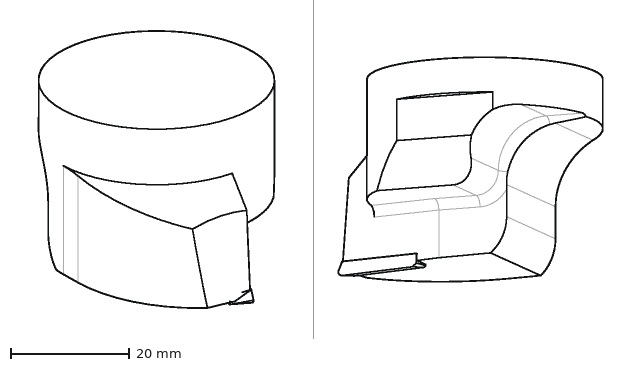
import cadquery as cq
import math

shank_diameter = 40.0
shank_radius = shank_diameter / 2
reach = 37.5

tip_x = 46.85 - shank_radius
rake_angle = 8.1
rake_slope = math.tan(math.radians(rake_angle))
insert_proud = 0.25
insert_depth = 4.2
insert_relief = 8.0
insert_length = 15.35
insert_top = -29.57
insert_bottom = -32.0
nose_radius = 0.75
tip_setback = 0.8
tail_chamfer = 0.8
tail_rise = 0.2

wall_y = 2.55
throat_x = -5.0
throat_radius = 10.0
throat_end_z = -19.0
throat_slope = 6.0
toe_radius = 7.6
toe_start_z = -24.5
toe_x = -2.05
blade_bottom = -30.55
blade_end_bottom = -31.05

flank_flat = 4.1
flank_radius = 25.0
cone_top = -10.35
end_x = 24.9
end_z = -15.0
end_slope_y = 0.13
end_slope_z = -0.082

rear_top = -7.95
rear_face_x = -4.12
rear_throat_end_z = -16.75
rear_bottom = -20.75
rear_flat_y = 17.95
rear_flat_top = -6.0
bevel_top = -13.12
bevel_bottom_y = 14.4
wall_fillet = 1.7

SIN45 = math.sqrt(0.5)


def wall_region():
    """Everything in front of the blade's rear wall, which bends parallel to the rake face."""
    end_y = -(reach - tip_x) * rake_slope - insert_proud
    bend_x = tip_x - (wall_y + insert_proud) / rake_slope
    return (
        cq.Workplane("XY")
        .moveTo(-reach, -reach)
        .lineTo(reach, -reach)
        .lineTo(reach, end_y)
        .lineTo(bend_x, wall_y)
        .lineTo(-reach, wall_y)
        .close()
        .extrude(-reach)
    )


def blade_profile():
    """Side profile of the blade, run along Y through the whole part."""
    arc_x = throat_x - throat_radius
    slope = math.radians(throat_slope)
    roof_x = arc_x + throat_radius * math.sin(slope)
    roof_z = throat_end_z + throat_radius * math.cos(slope)
    roof_end_z = roof_z + (roof_x + shank_radius) * math.tan(slope)
    bottom_slope = (blade_end_bottom - blade_bottom) / (tip_x - toe_x)
    toe_center_x = throat_x + toe_radius
    toe_angle = math.asin((toe_start_z - blade_bottom) / toe_radius)
    toe_mid = (
        toe_center_x - toe_radius * math.cos(toe_angle / 2),
        toe_start_z - toe_radius * math.sin(toe_angle / 2),
    )
    return (
        cq.Workplane("XZ")
        .moveTo(-shank_radius, 0)
        .lineTo(-shank_radius, roof_end_z)
        .lineTo(roof_x, roof_z)
        .threePointArc(
            (arc_x + throat_radius * SIN45, throat_end_z + throat_radius * SIN45),
            (throat_x, throat_end_z),
        )
        .lineTo(throat_x, toe_start_z)
        .threePointArc(toe_mid, (toe_x, blade_bottom))
        .lineTo(reach, blade_bottom + bottom_slope * (reach - toe_x))
        .lineTo(reach, 0)
        .close()
        .extrude(reach, both=True)
    )


def rear_profile():
    """Side profile of the rear block, run along Y through the whole part."""
    radius = rear_top - rear_throat_end_z
    arc_x = rear_face_x - radius
    corner = rear_throat_end_z - rear_bottom
    corner_x = rear_face_x + corner
    return (
        cq.Workplane("XZ")
        .moveTo(-reach, 0)
        .lineTo(-reach, rear_top)
        .lineTo(arc_x, rear_top)
        .threePointArc(
            (arc_x + radius * SIN45, rear_throat_end_z + radius * SIN45),
            (rear_face_x, rear_throat_end_z),
        )
        .threePointArc(
            (corner_x - corner * SIN45, rear_throat_end_z - corner * SIN45),
            (corner_x, rear_bottom),
        )
        .lineTo(reach, rear_bottom)
        .lineTo(reach, 0)
        .close()
        .extrude(reach, both=True)
    )


def flank():
    """Outer bulge of the blade: arc outline, conical shoulder, slanted end face."""
    center_y = flank_radius - shank_radius
    outline = (
        cq.Workplane("XY")
        .moveTo(0, -shank_radius)
        .lineTo(flank_flat, -shank_radius)
        .threePointArc(
            (flank_flat + flank_radius * SIN45, center_y - flank_radius * SIN45),
            (flank_flat + flank_radius, center_y),
        )
        .lineTo(0, center_y)
        .close()
        .extrude(-reach)
    )
    cone = (
        cq.Workplane("XZ")
        .moveTo(0, cone_top)
        .lineTo(shank_radius, cone_top)
        .lineTo(shank_radius + reach, cone_top - reach)
        .lineTo(0, cone_top - reach)
        .close()
        .revolve(360, (0, 0), (0, 1))
    )
    end_normal = cq.Vector(1, -end_slope_y, -end_slope_z)
    end_plane = cq.Plane(origin=(end_x, 0, end_z), xDir=(end_slope_y, 1, 0), normal=end_normal)
    beyond_end = cq.Workplane(end_plane).rect(4 * reach, 4 * reach).extrude(reach)
    return outline.intersect(cone).cut(beyond_end)


def rear_block(shank):
    """Block behind the blade, blended into the blade's rear wall."""
    wall = wall_region()
    margin = 0.45
    blended = (
        wall.union(rear_profile())
        .edges(cq.selectors.BoxSelector(
            (margin - reach, -wall_y, rear_bottom - margin),
            (reach - margin, wall_y + margin, -margin),
        ))
        .fillet(wall_fillet)
    )
    rear_relief = (
        cq.Workplane("YZ")
        .moveTo(reach, rear_flat_top)
        .lineTo(rear_flat_y, rear_flat_top)
        .lineTo(rear_flat_y, bevel_top)
        .lineTo(bevel_bottom_y, rear_bottom)
        .lineTo(bevel_bottom_y, -reach)
        .lineTo(reach, -reach)
        .close()
        .extrude(reach, both=True)
    )
    blend_limit = blade_profile().union(rear_profile())
    return blended.cut(wall).intersect(blend_limit).intersect(shank).cut(rear_relief)


def make_insert():
    """Cutting insert: tapered bar lying along the bottom edge of the rake face."""
    angle = math.radians(rake_angle)
    rake_plane = cq.Plane(
        origin=(tip_x, 0, 0),
        xDir=(math.cos(angle), -math.sin(angle), 0),
        normal=(-math.sin(angle), -math.cos(angle), 0),
    )
    nose_z = insert_bottom + nose_radius
    return (
        cq.Workplane(rake_plane)
        .moveTo(0, nose_z)
        .threePointArc(
            (nose_radius * (SIN45 - 1), nose_z - nose_radius * SIN45),
            (-nose_radius, insert_bottom),
        )
        .lineTo(tail_chamfer - insert_length, insert_bottom + tail_rise)
        .lineTo(-insert_length, nose_z)
        .lineTo(-insert_length, insert_top)
        .lineTo(-tip_setback, insert_top)
        .close()
        .extrude(insert_depth, taper=insert_relief)
    )


def make_holder(insert):
    """Shank, blade and rear block, with a seat for the insert."""
    shank = cq.Workplane("XY").circle(shank_radius).extrude(-reach)
    blade = shank.union(flank()).intersect(wall_region()).intersect(blade_profile())
    return blade.union(rear_block(shank)).cut(insert)


insert = make_insert()
holder = make_holder(insert)

result = cq.Compound.makeCompound([holder.solids().val(), insert.val()])